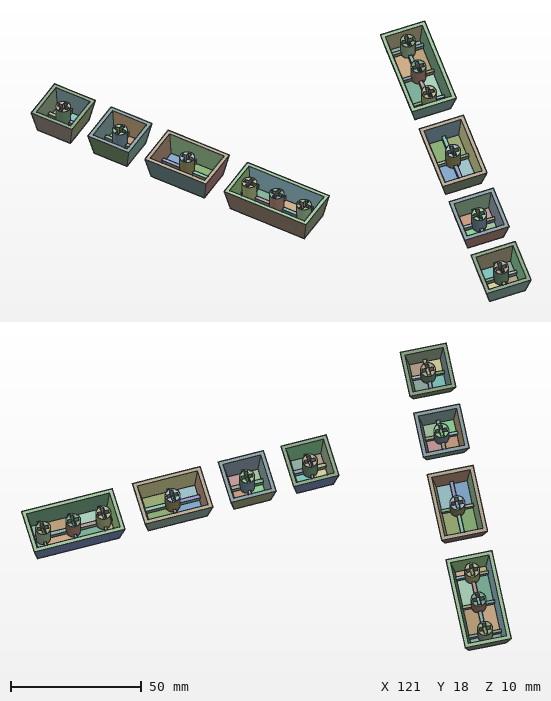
import cadquery as cq

row_length = 121.0
cap_depth = 18.0
cap_height = 10.0
cavity_mouth_depth = 15.0
wall = (cap_depth - cavity_mouth_depth) / 2
floor_thickness = 1.6
side_taper = 10.0

single_length = cap_depth
medium_length = 27.0
double_length = 36.0

single_spacing = 24.9
medium_to_double_spacing = 39.5
first_center = -(row_length - single_length) / 2
single_centers = [first_center, first_center + single_spacing]
double_center = (row_length - double_length) / 2
medium_center = double_center - medium_to_double_spacing

stem_diameter = 5.7
stem_spacing = 12.0
slot_length = 4.4
slot_width = 1.3
slot_depth = 4.8

rib_height = 1.9
long_rib_width = 1.5
cross_rib_width = 1.1


def tapered_block(length, depth, top, bottom):
    """Block that has its full size at the top and narrows downwards."""
    return (
        cq.Workplane("XY", origin=(0, 0, top))
        .rect(length, depth)
        .extrude(-(top - bottom), taper=side_taper)
    )


def ribs(length, stem_places):
    """One rib along X and a rib along Y through each stem, rising from the cap bottom."""
    rib_top = floor_thickness + rib_height
    long_rib = cq.Workplane("XY").rect(length, long_rib_width).extrude(rib_top)
    cross_ribs = (
        cq.Workplane("XY").pushPoints(stem_places).rect(cross_rib_width, cap_depth).extrude(rib_top)
    )
    return long_rib.union(cross_ribs)


def stems(stem_places):
    """Round posts rising from the cap bottom to the rim."""
    return (
        cq.Workplane("XY").pushPoints(stem_places).circle(stem_diameter / 2).extrude(cap_height)
    )


def cross_slots(stem_places):
    """Cross-shaped sockets sunk into the stem tops."""
    top_plane = cq.Workplane("XY", origin=(0, 0, cap_height)).pushPoints(stem_places)
    slots_along_x = top_plane.rect(slot_length, slot_width).extrude(-slot_depth)
    slots_along_y = top_plane.rect(slot_width, slot_length).extrude(-slot_depth)
    return slots_along_x.union(slots_along_y)


def keycap(length, center_x, stem_offsets):
    """Hollow tapered cap with its stems and ribs, placed along the row."""
    stem_places = [(offset, 0) for offset in stem_offsets]
    outside = tapered_block(length, cap_depth, cap_height, 0)
    cavity = tapered_block(length - 2 * wall, cap_depth - 2 * wall, cap_height, floor_thickness)
    inner_details = ribs(length, stem_places).union(stems(stem_places)).intersect(outside)
    cap = outside.cut(cavity).union(inner_details).cut(cross_slots(stem_places))
    return cap.translate((center_x, 0, 0)).solids()


single_stem = [0]
triple_stems = [-stem_spacing, 0, stem_spacing]

single_caps = [keycap(single_length, center, single_stem) for center in single_centers]
medium_cap = keycap(medium_length, medium_center, single_stem)
double_cap = keycap(double_length, double_center, triple_stems)

result = cq.Compound.makeCompound(
    [*(cap.val() for cap in single_caps), medium_cap.val(), double_cap.val()]
)